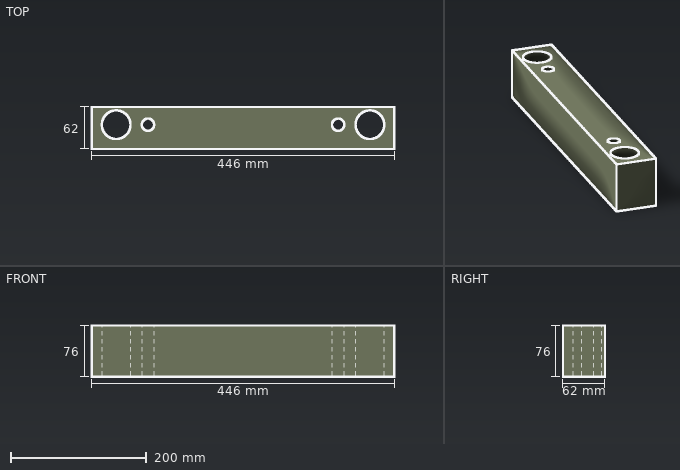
import cadquery as cq

length = 446
width = 62.0
height = 76

large_diameter = 42.0
large_spacing = 373.7
small_diameter = 18
small_spacing = 280.0
hole_line_y = 5.0


def drill_pair(body, diameter, spacing):
    """Drill two through holes placed symmetrically along the hole line."""
    centers = [(-spacing / 2, hole_line_y), (spacing / 2, hole_line_y)]
    return body.faces(">Z").workplane(origin=(0, 0, 0)).pushPoints(centers).hole(diameter)


bar = cq.Workplane("XY").box(length, width, height)
bar = drill_pair(bar, large_diameter, large_spacing)
result = drill_pair(bar, small_diameter, small_spacing)